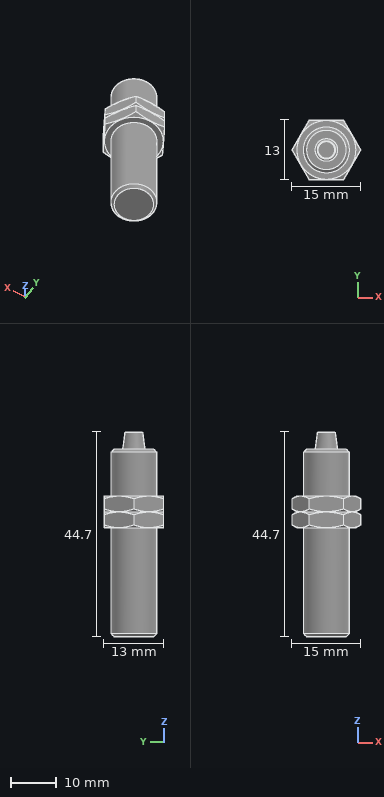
import cadquery as cq
import math

total_height = 44.7
barrel_diameter = 10.0
barrel_height = 41.0
barrel_chamfer = 0.7

tip_base_diameter = 4.9
tip_top_diameter = 4.0
tip_edge_chamfer = 0.2

nut_count = 2
nut_across_flats = 13.0
nut_thickness = 3.5
nut_stack_bottom = 23.8
nut_face_diameter = 12.85
nut_chamfer_angle = 30.0


def make_sensor():
    """Chamfered barrel and its tapered tip, as one solid of revolution."""
    barrel_radius = barrel_diameter / 2
    tip_top_radius = tip_top_diameter / 2
    profile = (
        cq.Workplane("XZ")
        .moveTo(0, 0)
        .lineTo(barrel_radius - barrel_chamfer, 0)
        .lineTo(barrel_radius, barrel_chamfer)
        .lineTo(barrel_radius, barrel_height - barrel_chamfer)
        .lineTo(barrel_radius - barrel_chamfer, barrel_height)
        .lineTo(tip_base_diameter / 2, barrel_height)
        .lineTo(tip_top_radius, total_height - tip_edge_chamfer)
        .lineTo(tip_top_radius - tip_edge_chamfer, total_height)
        .lineTo(0, total_height)
        .close()
    )
    return profile.revolve(360, (0, 0, 0), (0, 1, 0))


def make_nut(bottom):
    """Hexagonal nut with corners along X and conical chamfers on both faces."""
    across_corners = nut_across_flats / math.cos(math.radians(30))
    corner_radius = across_corners / 2
    face_radius = nut_face_diameter / 2
    chamfer_drop = (corner_radius - face_radius) * math.tan(math.radians(nut_chamfer_angle))

    prism = cq.Workplane("XY").polygon(6, across_corners).extrude(nut_thickness)
    chamfer_envelope = (
        cq.Workplane("XZ")
        .moveTo(0, 0)
        .lineTo(face_radius, 0)
        .lineTo(corner_radius, chamfer_drop)
        .lineTo(corner_radius, nut_thickness - chamfer_drop)
        .lineTo(face_radius, nut_thickness)
        .lineTo(0, nut_thickness)
        .close()
        .revolve(360, (0, 0, 0), (0, 1, 0))
    )
    bore = cq.Workplane("XY").circle(barrel_diameter / 2).extrude(nut_thickness)
    return prism.intersect(chamfer_envelope).cut(bore).translate((0, 0, bottom))


sensor = make_sensor()
nuts = [make_nut(nut_stack_bottom + index * nut_thickness) for index in range(nut_count)]

result = cq.Compound.makeCompound([sensor.val(), *[nut.val() for nut in nuts]])